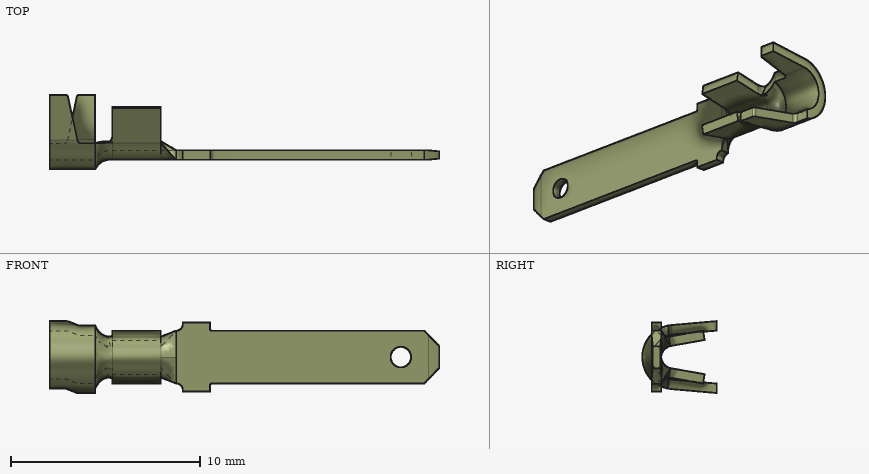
import cadquery as cq
import math

THICKNESS = 0.51
OVERALL_LENGTH = 20.57

INSULATION_LENGTH = 2.40
INSULATION_RADIUS = 1.703
INSULATION_BOTTOM = -0.505
INSULATION_TOP = 3.435
INSULATION_SPREAD = 5.0
WING_TIP_WIDTH = 0.95
WING_ROOT_WIDTH = 1.50
WING_TIP_ROUND = 0.15
WING_ROOT_FILLET = 0.20
WING_FOOT_DEPTH = 0.10

CONDUCTOR_START = 3.30
CONDUCTOR_END = 5.87
CONDUCTOR_RADIUS = 1.10
CONDUCTOR_SPREAD = 10.0
CONDUCTOR_WING_TOP = 2.80
CONDUCTOR_ROOT_FILLET = 0.35

TROUGH_TRIM = 11.0
LEVEL_INNER_TRIM = math.degrees(math.asin(
    math.sin(math.radians(TROUGH_TRIM)) * INSULATION_RADIUS / (INSULATION_RADIUS - THICKNESS)
))
NECK_BLEND_POSITION = 0.5
NECK_BLEND_REMAINDER = 0.13

TAB_START = 6.67
TAB_HALF_WIDTH = 1.40
SHOULDER_START = 7.02
SHOULDER_END = 8.47
SHOULDER_HALF_WIDTH = 1.83
SHOULDER_FRONT_FILLET = 0.33
SHOULDER_REAR_FILLET = 0.08
TIP_HALF_WIDTH = 0.60
TIP_CORNER_LENGTH = 0.82
TIP_BEVEL_LENGTH = 0.58
TIP_BEVEL_DEPTH = 0.06
HOLE_DIAMETER = 1.07
HOLE_FROM_TIP = 2.03


def cross_section(x):
    """Section plane at X = x; local axes are +Y and +Z."""
    return cq.Workplane("YZ", origin=(x, 0, 0))


def on_circle(center_y, radius, trim, side):
    """Point on a trough circle, trim degrees below its horizontal diameter."""
    angle = math.radians(trim)
    return center_y - radius * math.sin(angle), side * radius * math.cos(angle)


def trough_wire(x, radius, bottom, inner_trim):
    """Closed outline of a wingless arc trough of sheet thickness."""
    center_y = bottom + radius
    inner_radius = radius - THICKNESS
    return (
        cross_section(x)
        .moveTo(*on_circle(center_y, radius, TROUGH_TRIM, 1))
        .threePointArc((bottom, 0), on_circle(center_y, radius, TROUGH_TRIM, -1))
        .lineTo(*on_circle(center_y, inner_radius, inner_trim, -1))
        .threePointArc((bottom + THICKNESS, 0), on_circle(center_y, inner_radius, inner_trim, 1))
        .close()
    )


def open_barrel(x_start, x_end, radius, bottom, spread, top, square_tips):
    """U channel whose straight walls lean outwards by the spread angle.

    The wall tips are either parallel to the tab or square to the walls.
    """
    center_y = bottom + radius
    inner_radius = radius - THICKNESS
    slope = math.tan(math.radians(spread))
    outer_y, outer_z = on_circle(center_y, radius, spread, 1)
    inner_y, inner_z = on_circle(center_y, inner_radius, spread, 1)
    outer_top = top
    if square_tips:
        outer_top = top - THICKNESS * math.sin(math.radians(spread))
    outer_tip_z = outer_z + (outer_top - outer_y) * slope
    inner_tip_z = inner_z + (top - inner_y) * slope
    return (
        cross_section(x_start)
        .moveTo(outer_top, outer_tip_z)
        .lineTo(outer_y, outer_z)
        .threePointArc((bottom, 0), (outer_y, -outer_z))
        .lineTo(outer_top, -outer_tip_z)
        .lineTo(top, -inner_tip_z)
        .lineTo(inner_y, -inner_z)
        .threePointArc((bottom + THICKNESS, 0), (inner_y, inner_z))
        .lineTo(top, inner_tip_z)
        .close()
        .extrude(x_end - x_start)
    )


def insulation_barrel():
    """Wide trough carrying one wing at each end, on opposite sides."""
    channel = open_barrel(
        0, INSULATION_LENGTH, INSULATION_RADIUS, INSULATION_BOTTOM,
        INSULATION_SPREAD, INSULATION_TOP, square_tips=False,
    )
    root_y = on_circle(INSULATION_BOTTOM + INSULATION_RADIUS, INSULATION_RADIUS, TROUGH_TRIM, 1)[0]
    wing_mask = (
        cq.Workplane("XY")
        .moveTo(0, root_y - WING_FOOT_DEPTH)
        .lineTo(INSULATION_LENGTH, root_y - WING_FOOT_DEPTH)
        .lineTo(INSULATION_LENGTH, root_y)
        .lineTo(WING_ROOT_WIDTH, root_y)
        .lineTo(WING_TIP_WIDTH, INSULATION_TOP)
        .lineTo(0, INSULATION_TOP)
        .close()
        .extrude(2 * INSULATION_RADIUS)
        .edges(cq.selectors.NearestToPointSelector((WING_TIP_WIDTH, INSULATION_TOP, INSULATION_RADIUS)))
        .fillet(WING_TIP_ROUND)
        .edges(cq.selectors.NearestToPointSelector((WING_ROOT_WIDTH, root_y, INSULATION_RADIUS)))
        .fillet(WING_ROOT_FILLET)
    )
    opposite_mask = wing_mask.rotate(
        (INSULATION_LENGTH / 2, 0, 0), (INSULATION_LENGTH / 2, 1, 0), 180
    )
    trough_outline = trough_wire(0, INSULATION_RADIUS, INSULATION_BOTTOM, LEVEL_INNER_TRIM)
    body = trough_outline.extrude(INSULATION_LENGTH)
    for mask in (wing_mask, opposite_mask):
        body = body.union(channel.intersect(mask))
    return body


def neck():
    """Trough narrowing from the insulation barrel to the conductor barrel."""
    wires = []
    for position, remainder in ((0, 1), (NECK_BLEND_POSITION, NECK_BLEND_REMAINDER), (1, 0)):
        x = INSULATION_LENGTH + position * (CONDUCTOR_START - INSULATION_LENGTH)
        radius = CONDUCTOR_RADIUS + remainder * (INSULATION_RADIUS - CONDUCTOR_RADIUS)
        bottom = remainder * INSULATION_BOTTOM
        inner_trim = TROUGH_TRIM + remainder * (LEVEL_INNER_TRIM - TROUGH_TRIM)
        wires.append(trough_wire(x, radius, bottom, inner_trim).val())
    return cq.Workplane(cq.Solid.makeLoft(wires, False))


def conductor_barrel():
    """Narrow U channel with a concave fillet where its wings meet the neck."""
    root_y = on_circle(CONDUCTOR_RADIUS, CONDUCTOR_RADIUS, TROUGH_TRIM, 1)[0]
    fillet_start = CONDUCTOR_START - CONDUCTOR_ROOT_FILLET
    fillet_top = root_y + CONDUCTOR_ROOT_FILLET
    arc_offset = CONDUCTOR_ROOT_FILLET * math.sqrt(0.5)
    mask = (
        cq.Workplane("XY")
        .moveTo(fillet_start, root_y)
        .threePointArc(
            (fillet_start + arc_offset, fillet_top - arc_offset),
            (CONDUCTOR_START, fillet_top),
        )
        .lineTo(CONDUCTOR_START, CONDUCTOR_WING_TOP)
        .lineTo(CONDUCTOR_END, CONDUCTOR_WING_TOP)
        .lineTo(CONDUCTOR_END, 0)
        .lineTo(CONDUCTOR_START, 0)
        .lineTo(CONDUCTOR_START, root_y)
        .close()
        .extrude(2 * CONDUCTOR_RADIUS, both=True)
    )
    channel = open_barrel(
        fillet_start, CONDUCTOR_END, CONDUCTOR_RADIUS, 0,
        CONDUCTOR_SPREAD, CONDUCTOR_WING_TOP, square_tips=True,
    )
    return channel.intersect(mask)


def tab_transition():
    """Trough opening out flat into the tab, made as two mirrored halves."""
    inner_radius = CONDUCTOR_RADIUS - THICKNESS
    middle_trim = (90 + TROUGH_TRIM) / 2
    half_trough = (
        cross_section(CONDUCTOR_END)
        .moveTo(0, 0)
        .threePointArc(
            on_circle(CONDUCTOR_RADIUS, CONDUCTOR_RADIUS, middle_trim, 1),
            on_circle(CONDUCTOR_RADIUS, CONDUCTOR_RADIUS, TROUGH_TRIM, 1),
        )
        .lineTo(*on_circle(CONDUCTOR_RADIUS, inner_radius, TROUGH_TRIM, 1))
        .threePointArc(
            on_circle(CONDUCTOR_RADIUS, inner_radius, middle_trim, 1),
            (THICKNESS, 0),
        )
        .close()
    )
    half_flat = (
        cross_section(TAB_START)
        .moveTo(0, 0)
        .lineTo(0, TAB_HALF_WIDTH)
        .lineTo(THICKNESS, TAB_HALF_WIDTH)
        .lineTo(THICKNESS, 0)
        .close()
    )
    half = cq.Workplane(cq.Solid.makeLoft([half_trough.val(), half_flat.val()], True))
    return half.union(half.mirror("XY"))


def tab():
    """Flat blade with shoulders, a hole and a bevelled, pointed tip."""
    blade = (
        cq.Workplane("XY")
        .box(OVERALL_LENGTH - TAB_START, THICKNESS, 2 * TAB_HALF_WIDTH, centered=(False, False, True))
        .translate((TAB_START, 0, 0))
        .edges("|Y and >X")
        .chamfer(TIP_CORNER_LENGTH, TAB_HALF_WIDTH - TIP_HALF_WIDTH)
    )
    shoulder = (
        cq.Workplane("XY")
        .box(SHOULDER_END - SHOULDER_START, THICKNESS, 2 * SHOULDER_HALF_WIDTH,
             centered=(False, False, True))
        .translate((SHOULDER_START, 0, 0))
    )
    body = blade.union(shoulder)
    for x, radius in ((SHOULDER_START, SHOULDER_FRONT_FILLET), (SHOULDER_END, SHOULDER_REAR_FILLET)):
        for side in (1, -1):
            corner = (x, THICKNESS / 2, side * TAB_HALF_WIDTH)
            body = body.edges(cq.selectors.NearestToPointSelector(corner)).fillet(radius)
    hole = (
        cq.Workplane("XZ", origin=(OVERALL_LENGTH - HOLE_FROM_TIP, 0, 0))
        .circle(HOLE_DIAMETER / 2)
        .extrude(-THICKNESS)
    )
    bevel_start = OVERALL_LENGTH - TIP_BEVEL_LENGTH
    tip_profile = (
        cq.Workplane("XY")
        .moveTo(TAB_START, 0)
        .lineTo(bevel_start, 0)
        .lineTo(OVERALL_LENGTH, TIP_BEVEL_DEPTH)
        .lineTo(OVERALL_LENGTH, THICKNESS - TIP_BEVEL_DEPTH)
        .lineTo(bevel_start, THICKNESS)
        .lineTo(TAB_START, THICKNESS)
        .close()
        .extrude(2 * SHOULDER_HALF_WIDTH, both=True)
    )
    return body.cut(hole).intersect(tip_profile)


result = (
    insulation_barrel()
    .union(neck())
    .union(conductor_barrel())
    .union(tab_transition())
    .union(tab())
)